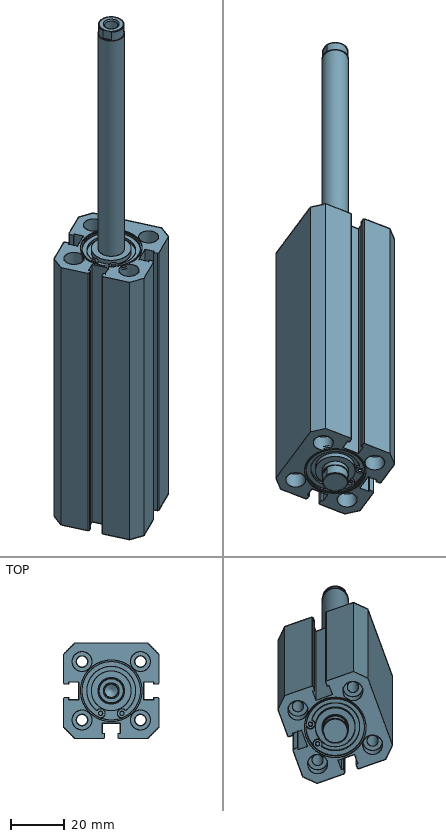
import cadquery as cq
import math

BODY_SIDE = 36.0
BODY_LENGTH = 122.0
CORNER_CHAMFER = 4.25
HALF_SIDE = BODY_SIDE / 2

SLOT_MOUTH_WIDTH = 5.0
SLOT_INNER_WIDTH = 6.6
SLOT_LIP_DEPTH = 2.0
SLOT_DEPTH = 5.7
SLOT_MOUTH_CHAMFER = 0.4

BOLT_PITCH = 22.0
BOLT_HOLE_DIAMETER = 4.2
COUNTERBORE_DIAMETER = 7.5
COUNTERBORE_DEPTH = 7.0

SEAT_RADIUS = 11.0
ENTRY_RADIUS = 11.6
ENTRY_DEPTH = 0.4
BOSS_RADIUS = 7.5
BOSS_RECESS = 0.3
COVER_DEPTH = 12.0

RING_TOP_DEPTH = 1.2
RING_THICKNESS = 1.0
RING_OUTER_RADIUS = ENTRY_RADIUS
RING_INNER_RADIUS = 9.2
EAR_RADIUS = 1.7
EAR_HOLE_DIAMETER = 1.6
EAR_X = 4.0
EAR_Y = -8.5
RING_BOTTOM_DEPTH = RING_TOP_DEPTH + RING_THICKNESS

ROD_DIAMETER = 10.0
ROD_TOP_OVERHANG = 106.0
ROD_BOTTOM_OVERHANG = 6.0
TIP_DIAMETER = 9.6
TIP_LENGTH = 4.3
TIP_ACROSS_FLATS = 9.0
FLAT_LENGTH = 3.9
TIP_CHAMFER = 0.25
ROD_HOLE_DIAMETER = 5.0
ROD_HOLE_CHAMFER = 0.5
ROD_HOLE_DEPTH = 12.0
DRILL_TIP_ANGLE = 118.0
ROD_BOTTOM = -ROD_BOTTOM_OVERHANG
ROD_TOP = BODY_LENGTH + ROD_TOP_OVERHANG


def cylinder(radius, bottom, top):
    """Cylinder on the Z axis between two heights."""
    return cq.Workplane("XY").workplane(offset=bottom).circle(radius).extrude(top - bottom)


def at_lower_end(body):
    """Copy of an upper-end body, mirrored to the lower end of the housing."""
    return body.mirror("XY", (0, 0, BODY_LENGTH / 2))


def t_slot(angle):
    """T-slot cutter for the -Y face with a chamfered mouth, turned about Z by the given angle."""
    half_mouth = SLOT_MOUTH_WIDTH / 2
    half_flare = half_mouth + SLOT_MOUTH_CHAMFER
    mouth = (
        cq.Workplane("XY")
        .moveTo(-half_flare, -HALF_SIDE)
        .lineTo(half_flare, -HALF_SIDE)
        .lineTo(half_mouth, -HALF_SIDE + SLOT_MOUTH_CHAMFER)
        .lineTo(half_mouth, -HALF_SIDE + SLOT_DEPTH)
        .lineTo(-half_mouth, -HALF_SIDE + SLOT_DEPTH)
        .lineTo(-half_mouth, -HALF_SIDE + SLOT_MOUTH_CHAMFER)
        .close()
        .extrude(BODY_LENGTH)
    )
    inner = (
        cq.Workplane("XY")
        .center(0, -HALF_SIDE + (SLOT_LIP_DEPTH + SLOT_DEPTH) / 2)
        .rect(SLOT_INNER_WIDTH, SLOT_DEPTH - SLOT_LIP_DEPTH)
        .extrude(BODY_LENGTH)
    )
    return mouth.union(inner).rotate((0, 0, 0), (0, 0, 1), angle)


def make_cover():
    """Upper cover: flange under the retaining ring and a raised boss around the rod."""
    flange = cylinder(SEAT_RADIUS, BODY_LENGTH - COVER_DEPTH, BODY_LENGTH - RING_BOTTOM_DEPTH)
    boss = cylinder(BOSS_RADIUS, BODY_LENGTH - COVER_DEPTH, BODY_LENGTH - BOSS_RECESS)
    rod_bore = cylinder(ROD_DIAMETER / 2, 0, BODY_LENGTH)
    return flange.union(boss).cut(rod_bore)


def make_retaining_ring():
    """Upper retaining ring: open toward -Y, with a pierced ear at each side of the gap."""
    bottom = BODY_LENGTH - RING_BOTTOM_DEPTH
    top = BODY_LENGTH - RING_TOP_DEPTH
    ring = cylinder(RING_OUTER_RADIUS, bottom, top).cut(cylinder(RING_INNER_RADIUS, bottom, top))
    gap = (
        cq.Workplane("XY")
        .workplane(offset=bottom)
        .center(0, -RING_OUTER_RADIUS / 2)
        .rect(2 * EAR_X, RING_OUTER_RADIUS)
        .extrude(RING_THICKNESS)
    )
    ear_centers = [(-EAR_X, EAR_Y), (EAR_X, EAR_Y)]
    plane = cq.Workplane("XY").workplane(offset=bottom).pushPoints(ear_centers)
    ears = plane.circle(EAR_RADIUS).extrude(RING_THICKNESS)
    ear_holes = plane.circle(EAR_HOLE_DIAMETER / 2).extrude(RING_THICKNESS)
    return ring.cut(gap).union(ears).cut(ear_holes)


def make_housing():
    """T-slotted housing with bolt holes, stepped cover seats, ring grooves and the rod bore."""
    body = (
        cq.Workplane("XY")
        .rect(BODY_SIDE, BODY_SIDE)
        .extrude(BODY_LENGTH)
        .edges("|Z")
        .chamfer(CORNER_CHAMFER)
    )
    for angle in (-90, 0, 90):
        body = body.cut(t_slot(angle))
    for face in (">Z", "<Z"):
        body = (
            body.faces(face)
            .workplane(origin=(0, 0, 0))
            .rect(BOLT_PITCH, BOLT_PITCH, forConstruction=True)
            .vertices()
            .cboreHole(BOLT_HOLE_DIAMETER, COUNTERBORE_DIAMETER, COUNTERBORE_DEPTH)
        )
    seat = cylinder(SEAT_RADIUS, BODY_LENGTH - COVER_DEPTH, BODY_LENGTH)
    groove = cylinder(RING_OUTER_RADIUS, BODY_LENGTH - RING_BOTTOM_DEPTH, BODY_LENGTH - RING_TOP_DEPTH)
    entry = cylinder(ENTRY_RADIUS, BODY_LENGTH - ENTRY_DEPTH, BODY_LENGTH)
    end_recess = seat.union(groove).union(entry)
    rod_bore = cylinder(ROD_DIAMETER / 2, 0, BODY_LENGTH)
    return body.cut(end_recess).cut(at_lower_end(end_recess)).cut(rod_bore)


def make_tip():
    """Upper reduced rod end with two wrench flats, facing -Y and +Y and stopping short of the shoulder."""
    tip = cylinder(TIP_DIAMETER / 2, ROD_TOP - TIP_LENGTH, ROD_TOP)
    tip = tip.faces(">Z").chamfer(TIP_CHAMFER)
    cutter_width = (TIP_DIAMETER - TIP_ACROSS_FLATS) / 2
    cutter_y = (TIP_ACROSS_FLATS + cutter_width) / 2
    flats = (
        cq.Workplane("XY")
        .workplane(offset=ROD_TOP - FLAT_LENGTH)
        .pushPoints([(0, -cutter_y), (0, cutter_y)])
        .rect(TIP_DIAMETER, cutter_width)
        .extrude(FLAT_LENGTH)
    )
    return tip.cut(flats)


def make_rod():
    """Through rod with flatted tips and a chamfered blind hole in the upper end."""
    rod = cylinder(ROD_DIAMETER / 2, ROD_BOTTOM + TIP_LENGTH, ROD_TOP - TIP_LENGTH)
    upper_tip = make_tip()
    lower_tip = upper_tip.mirror("XY", (0, 0, (ROD_BOTTOM + ROD_TOP) / 2))
    rod = rod.union(upper_tip).union(lower_tip)
    radius = ROD_HOLE_DIAMETER / 2
    drill_tip = radius / math.tan(math.radians(DRILL_TIP_ANGLE / 2))
    hole = (
        cq.Workplane("XZ")
        .moveTo(0, ROD_TOP)
        .lineTo(radius + ROD_HOLE_CHAMFER, ROD_TOP)
        .lineTo(radius, ROD_TOP - ROD_HOLE_CHAMFER)
        .lineTo(radius, ROD_TOP - ROD_HOLE_DEPTH)
        .lineTo(0, ROD_TOP - ROD_HOLE_DEPTH - drill_tip)
        .close()
        .revolve(360, (0, 0, 0), (0, 1, 0))
    )
    return rod.cut(hole)


housing = make_housing()
rod = make_rod()
upper_cover = make_cover()
lower_cover = at_lower_end(upper_cover)
upper_ring = make_retaining_ring()
lower_ring = at_lower_end(upper_ring)

result = cq.Compound.makeCompound([
    housing.val(),
    rod.val(),
    upper_cover.val(),
    lower_cover.val(),
    upper_ring.val(),
    lower_ring.val(),
])